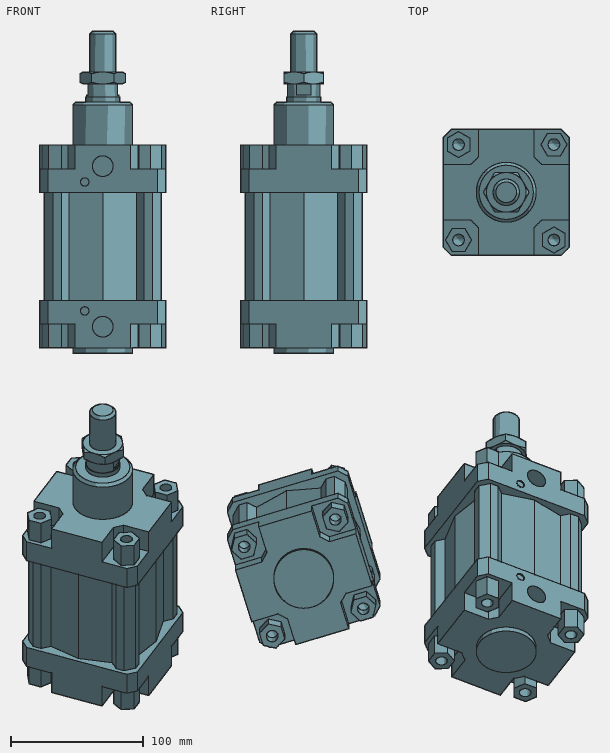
import cadquery as cq
import math


SPIGOT_HEIGHT = 4.1
CAP_HEIGHT = 36.0
CAP_FLANGE_HEIGHT = 17.7
BARREL_LENGTH = 81.2
BOSS_HEIGHT = 32.3
TOTAL_HEIGHT = 243.0

BOTTOM_CAP_BASE = SPIGOT_HEIGHT
BARREL_BASE = BOTTOM_CAP_BASE + CAP_HEIGHT
TOP_CAP_BASE = BARREL_BASE + BARREL_LENGTH
TOP_CAP_TOP = TOP_CAP_BASE + CAP_HEIGHT
BOSS_TOP = TOP_CAP_TOP + BOSS_HEIGHT
MIRROR_HEIGHT = BARREL_BASE + BARREL_LENGTH / 2

CAP_SIDE = 95.0
CAP_HALF = CAP_SIDE / 2
CAP_CHAMFER = 6.0
POCKET_EDGE = 21.0
POCKET_SIZE = CAP_HALF - POCKET_EDGE
POCKET_CHAMFER = 5.8
BOSS_RADIUS = 22.5
BOSS_CHAMFER = 2.2

TIE_NUT_OFFSET = 36.0
TIE_NUT_FLATS = 17.0
TIE_NUT_HEIGHT = CAP_HEIGHT - CAP_FLANGE_HEIGHT
TIE_HOLE_RADIUS = 4.4
TIE_HOLE_DEPTH = 15.0
DRILL_TIP_ANGLE = 118.0

PORT_RADIUS = 7.8
PORT_DEPTH = 20.0
PORT_DROP = 16.0
SCREW_RADIUS = 3.2
SCREW_DEPTH = 1.0
SCREW_X = -13.5
SCREW_RISE = 8.0

BARREL_HALF = 44.2
VALLEY_X = 25.3
VALLEY_Y = 38.6
POST_X = 31.0
POST_CORNER = 37.7

COLLAR_RADIUS = 13.0
COLLAR_HEIGHT = 3.6
NECK_RADIUS = 12.5
FLAT_DISTANCE = 11.2
FLAT_BASE = 194.6
STUD_RADIUS = 10.0
STUD_CHAMFER = 2.2

NUT_FLATS = 30.0
NUT_HEIGHT = 9.0
NUT_BASE = 203.1
NUT_CHAMFER_ANGLE = 30.0


def hexagon(across_flats, height):
    """Hexagonal prism on Z = 0 with two corners on the X axis."""
    corner_diameter = across_flats / math.cos(math.radians(30))
    return cq.Workplane("XY").polygon(6, corner_diameter).extrude(height)


def cylinder(radius, height, base):
    return cq.Workplane("XY").workplane(offset=base).circle(radius).extrude(height)


def make_cap():
    """Top cap: chamfered square block with a pocket over each corner."""
    cap = cq.Workplane("XY").rect(CAP_SIDE, CAP_SIDE).extrude(CAP_HEIGHT)
    cap = cap.edges("|Z").chamfer(CAP_CHAMFER)

    pocket_center = POCKET_EDGE + POCKET_SIZE / 2
    pocket = (
        cq.Workplane("XY", origin=(pocket_center, pocket_center, CAP_FLANGE_HEIGHT))
        .rect(POCKET_SIZE, POCKET_SIZE)
        .extrude(CAP_HEIGHT - CAP_FLANGE_HEIGHT)
        .edges("|Z and <X and <Y")
        .chamfer(POCKET_CHAMFER)
    )
    for quarter in range(4):
        cap = cap.cut(pocket.rotate((0, 0, 0), (0, 0, 1), 90 * quarter))
    return cap.translate((0, 0, TOP_CAP_BASE))


def make_tie_hole():
    """Blind hole with a conical drill tip, opening at Z = TIE_NUT_HEIGHT."""
    tip_height = TIE_HOLE_RADIUS / math.tan(math.radians(DRILL_TIP_ANGLE / 2))
    shoulder = TIE_NUT_HEIGHT - TIE_HOLE_DEPTH
    return (
        cq.Workplane("XZ")
        .moveTo(0, shoulder - tip_height)
        .lineTo(TIE_HOLE_RADIUS, shoulder)
        .lineTo(TIE_HOLE_RADIUS, TIE_NUT_HEIGHT)
        .lineTo(0, TIE_NUT_HEIGHT)
        .close()
        .revolve(360, (0, 0, 0), (0, 1, 0))
    )


def add_tie_nuts(cap):
    """Add a drilled hexagon in each pocket; each is a quarter turn from the last."""
    base = TOP_CAP_BASE + CAP_FLANGE_HEIGHT
    nut_place = (-TIE_NUT_OFFSET, -TIE_NUT_OFFSET, base)
    nut = hexagon(TIE_NUT_FLATS, TIE_NUT_HEIGHT).translate(nut_place)
    hole = make_tie_hole().translate(nut_place)
    for quarter in range(4):
        turn = 90 * quarter
        cap = cap.union(nut.rotate((0, 0, 0), (0, 0, 1), turn))
        cap = cap.cut(hole.rotate((0, 0, 0), (0, 0, 1), turn))
    return cap


def side_hole(x, z, radius, depth):
    """Cylinder going into the -Y side of a cap."""
    return (
        cq.Workplane("XZ", origin=(x, -CAP_HALF, z))
        .circle(radius)
        .extrude(-depth)
    )


def make_top_end():
    end = add_tie_nuts(make_cap())
    end = end.cut(side_hole(0, TOP_CAP_TOP - PORT_DROP, PORT_RADIUS, PORT_DEPTH))
    return end.cut(side_hole(SCREW_X, TOP_CAP_BASE + SCREW_RISE, SCREW_RADIUS, SCREW_DEPTH))


def make_barrel():
    """Barrel with a post at each corner and a shallow ridge on each side."""
    side = [
        (-POST_CORNER, -BARREL_HALF),
        (-POST_X, -BARREL_HALF),
        (-VALLEY_X, -VALLEY_Y),
        (0, -BARREL_HALF),
        (VALLEY_X, -VALLEY_Y),
        (POST_X, -BARREL_HALF),
        (POST_CORNER, -BARREL_HALF),
    ]
    outline = []
    for _ in range(4):
        outline += side
        side = [(-y, x) for x, y in side]
    return (
        cq.Workplane("XY")
        .workplane(offset=BARREL_BASE)
        .polyline(outline)
        .close()
        .extrude(BARREL_LENGTH)
    )


def make_housing():
    top_end = make_top_end()
    bottom_end = top_end.mirror("XY", (0, 0, MIRROR_HEIGHT))
    boss = cylinder(BOSS_RADIUS, BOSS_HEIGHT, TOP_CAP_TOP).faces(">Z").chamfer(BOSS_CHAMFER)
    spigot = cylinder(BOSS_RADIUS, SPIGOT_HEIGHT, 0)
    return make_barrel().union(top_end).union(bottom_end).union(boss).union(spigot)


def make_rod():
    """Rod standing on the boss: collar, neck with two wrench flats, stud."""
    collar = cylinder(COLLAR_RADIUS, COLLAR_HEIGHT, BOSS_TOP)

    neck = cylinder(NECK_RADIUS, NUT_BASE - BOSS_TOP, BOSS_TOP)
    flat_height = NUT_BASE - FLAT_BASE
    flat_zone = cylinder(NECK_RADIUS, flat_height, FLAT_BASE)
    between_flats = (
        cq.Workplane("XY")
        .workplane(offset=FLAT_BASE)
        .rect(2 * FLAT_DISTANCE, 2 * NECK_RADIUS)
        .extrude(flat_height)
    )
    neck = neck.cut(flat_zone.cut(between_flats))

    stud = cylinder(STUD_RADIUS, TOTAL_HEIGHT - NUT_BASE, NUT_BASE)
    stud = stud.faces(">Z").chamfer(STUD_CHAMFER)
    return collar.union(neck).union(stud)


def make_nut():
    """Hexagon nut with both ends turned to a cone at the corners."""
    flat_radius = NUT_FLATS / 2
    rise = NUT_HEIGHT / 2
    cone_radius = flat_radius + rise / math.tan(math.radians(NUT_CHAMFER_ANGLE))
    double_cone = (
        cq.Workplane("XZ")
        .polyline([
            (0, 0),
            (flat_radius, 0),
            (cone_radius, rise),
            (flat_radius, NUT_HEIGHT),
            (0, NUT_HEIGHT),
        ])
        .close()
        .revolve(360, (0, 0, 0), (0, 1, 0))
    )
    nut = hexagon(NUT_FLATS, NUT_HEIGHT).intersect(double_cone)
    nut = nut.cut(cylinder(STUD_RADIUS, NUT_HEIGHT, 0))
    return nut.translate((0, 0, NUT_BASE))


housing = make_housing()
rod = make_rod()
lock_nut = make_nut()

result = cq.Compound.makeCompound([housing.val(), rod.val(), lock_nut.val()])